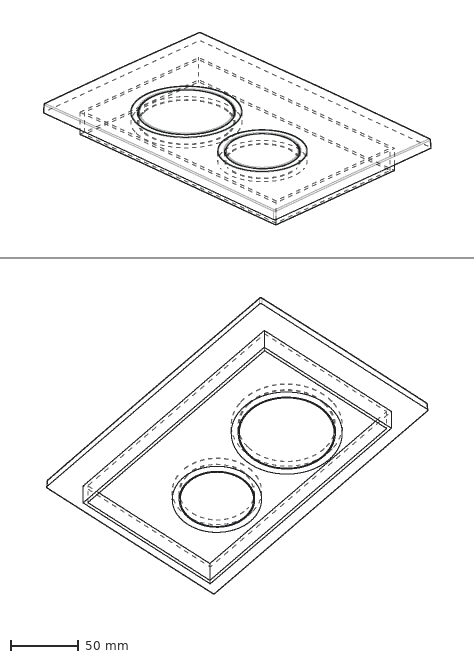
import cadquery as cq
import math

PLATE_LENGTH = 245.3
PLATE_WIDTH = 165.3
TOTAL_HEIGHT = 27.7

BASE_LENGTH = 207.0
BASE_WIDTH = 125.0
BASE_HEIGHT = 18.6
BASE_WALL = 2.5

PLATE_HEIGHT = TOTAL_HEIGHT - BASE_HEIGHT
CROWN_RISE = 0.7
PLATE_EDGE_ROUND = 1.0
PLATE_DRAFT = 2.5
CORNER_ROUND = 1.2

BUTTONS = [
    (-36.0, -17.7, 41.5),
    (48.5, -21.8, 33.4),
]
RING_WIDTH = 5.2
BUTTON_GAP = 0.85
RIM_ROUND = 0.61


def arc_radius(chord, rise):
    """Radius of an arc that rises by rise over a chord."""
    return (chord**2 / 4 + rise**2) / (2 * rise)


def crowned(blank):
    """Trim the top of a blank to the shallow crown: a lengthwise arc swung about a far, low axis along X."""
    swing_radius = arc_radius(PLATE_WIDTH, CROWN_RISE)
    half_swing = math.degrees(math.asin(PLATE_WIDTH / swing_radius))
    end_height = swing_radius - CROWN_RISE
    foot_height = swing_radius - TOTAL_HEIGHT
    barrel = (
        cq.Workplane("XZ")
        .moveTo(-PLATE_LENGTH / 2, foot_height)
        .lineTo(-PLATE_LENGTH / 2, end_height)
        .threePointArc((0, swing_radius), (PLATE_LENGTH / 2, end_height))
        .lineTo(PLATE_LENGTH / 2, foot_height)
        .close()
        .revolve(2 * half_swing, (0, 0), (1, 0))
        .rotate((0, 0, 0), (1, 0, 0), -half_swing)
        .translate((0, 0, TOTAL_HEIGHT - swing_radius))
    )
    return blank.intersect(barrel)


def cylinder(x, y, radius):
    """A cylinder as tall as the plate."""
    return cq.Workplane("XY").workplane(offset=BASE_HEIGHT).center(x, y).circle(radius).extrude(PLATE_HEIGHT)


def make_base():
    """The open rectangular frame behind the plate."""
    outer = cq.Workplane("XY").rect(BASE_LENGTH, BASE_WIDTH).extrude(BASE_HEIGHT)
    opening = (
        cq.Workplane("XY").rect(BASE_LENGTH - 2 * BASE_WALL, BASE_WIDTH - 2 * BASE_WALL).extrude(BASE_HEIGHT)
    )
    return outer.cut(opening)


def make_plate():
    """The drafted, crowned plate with a through hole for each trim ring."""
    blank = (
        cq.Workplane("XY")
        .workplane(offset=BASE_HEIGHT)
        .rect(PLATE_LENGTH, PLATE_WIDTH)
        .extrude(PLATE_HEIGHT, taper=PLATE_DRAFT)
        .edges("not(#Z)")
        .fillet(CORNER_ROUND)
    )
    plate = crowned(blank).faces(">Z").edges().fillet(PLATE_EDGE_ROUND)
    for x, y, ring_radius in BUTTONS:
        plate = plate.cut(cylinder(x, y, ring_radius))
    return plate


def make_ring(x, y, ring_radius):
    """A trim ring that fills its plate hole, with both top rims rounded."""
    blank = cylinder(x, y, ring_radius).cut(cylinder(x, y, ring_radius - RING_WIDTH))
    return crowned(blank).faces(">Z").edges().fillet(RIM_ROUND)


def make_button(x, y, ring_radius):
    """A button disc standing free inside its trim ring."""
    blank = cylinder(x, y, ring_radius - RING_WIDTH - BUTTON_GAP)
    return crowned(blank).faces(">Z").edges().fillet(RIM_ROUND)


base = make_base()
plate = make_plate()
rings = [make_ring(*button) for button in BUTTONS]
buttons = [make_button(*button) for button in BUTTONS]

result = cq.Compound.makeCompound(
    [base.val(), plate.val()] + [ring.val() for ring in rings] + [button.val() for button in buttons]
)